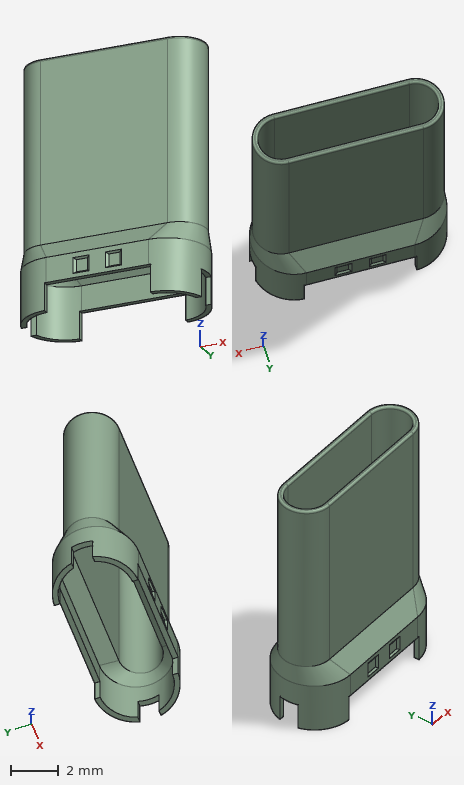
import cadquery as cq

HEIGHT = 11.66
BASE_LENGTH = 8.43
BASE_WIDTH = 3.72
TUBE_LENGTH = 8.25
TUBE_WIDTH = 2.4
WALL = 0.25

BASE_TOP = 2.38
TUBE_BOTTOM = 3.28

RIM_RADIUS = 0.1

NOTCH_HEIGHT = 1.25
LONG_NOTCH = 4.89
END_NOTCH = 0.93

DIMPLE_LENGTH = 0.73
DIMPLE_HEIGHT = 0.71
DIMPLE_LEVEL = 1.8
DIMPLE_SPACING = 1.49
DIMPLE_SIDE_BEVEL = 0.12
DIMPLE_END_BEVEL = 0.08
DIMPLE_DEPTH = 0.08


def stadium_prism(length, width, bottom, top):
    """Straight prism with semicircular ends."""
    return cq.Workplane("XY").workplane(offset=bottom).slot2D(length, width).extrude(top - bottom)


def flare(inset):
    """Transition from base to tube, inset all round by a wall thickness."""
    return (
        cq.Workplane("XY")
        .workplane(offset=BASE_TOP)
        .slot2D(BASE_LENGTH - 2 * inset, BASE_WIDTH - 2 * inset)
        .workplane(offset=TUBE_BOTTOM - BASE_TOP)
        .slot2D(TUBE_LENGTH - 2 * inset, TUBE_WIDTH - 2 * inset)
        .loft(ruled=True)
    )


def body(inset):
    """Base, flare and tube joined into one solid."""
    base = stadium_prism(BASE_LENGTH - 2 * inset, BASE_WIDTH - 2 * inset, 0, BASE_TOP)
    tube = stadium_prism(TUBE_LENGTH - 2 * inset, TUBE_WIDTH - 2 * inset, TUBE_BOTTOM, HEIGHT)
    return base.union(flare(inset)).union(tube)


def bottom_notch(length, width):
    """Block that cuts through two opposite walls at the bottom."""
    return cq.Workplane("XY").rect(length, width).extrude(NOTCH_HEIGHT)


def dimple(x):
    """Tapered pocket entering the -Y face, narrowing towards its floor."""
    return (
        cq.Workplane("XZ", origin=(x, -BASE_WIDTH / 2, DIMPLE_LEVEL))
        .rect(DIMPLE_LENGTH, DIMPLE_HEIGHT)
        .workplane(offset=-DIMPLE_DEPTH)
        .rect(DIMPLE_LENGTH - 2 * DIMPLE_SIDE_BEVEL, DIMPLE_HEIGHT - 2 * DIMPLE_END_BEVEL)
        .loft()
    )


shell = body(0).cut(body(WALL))
shell = shell.faces(">Z").edges().fillet(RIM_RADIUS)

shell = shell.cut(bottom_notch(LONG_NOTCH, BASE_WIDTH))
shell = shell.cut(bottom_notch(BASE_LENGTH, END_NOTCH))

for side in (-1, 1):
    pocket = dimple(side * DIMPLE_SPACING / 2)
    shell = shell.cut(pocket).cut(pocket.mirror("XZ"))

result = shell